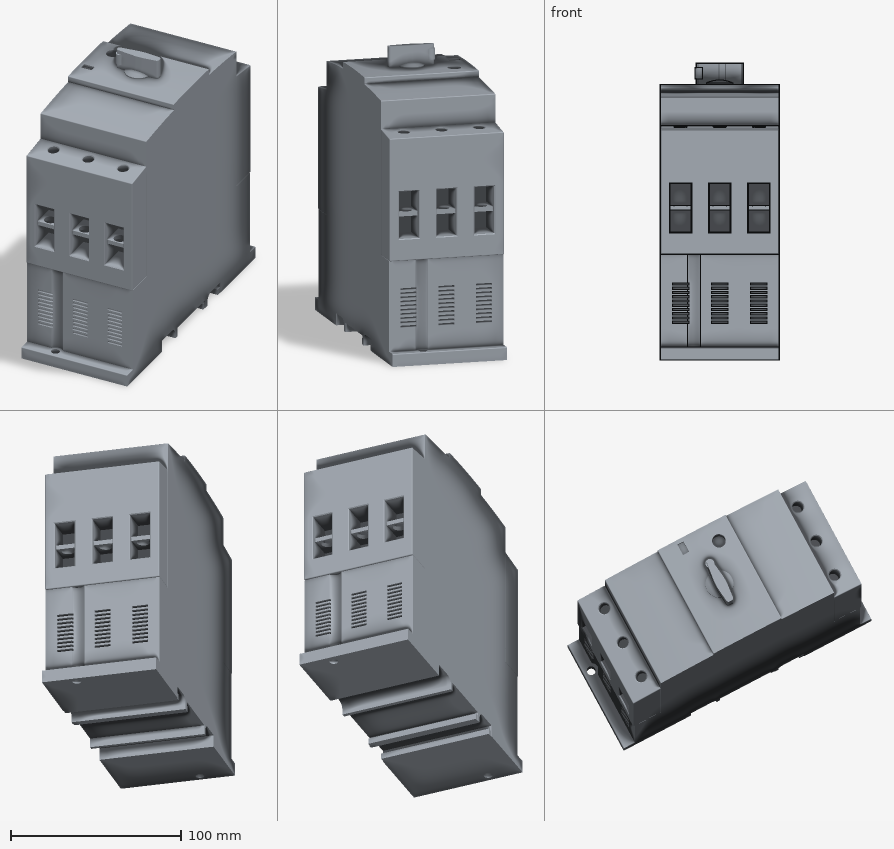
import cadquery as cq
import math

width = 70.0
depth = 165.0
height = 174.5
half_width = width / 2

edge_round = 0.5
mouth_chamfer = 0.5

base_height = 7.7
body_half_depth = 75.0

housing_half_depth = 57.8
block_half_depth = 76.1
block_bottom = 62.1
block_top_inner = 138.0
block_top_outer = 135.8
block_slope = math.atan2(block_top_inner - block_top_outer, block_half_depth - housing_half_depth)
pole_pitch = 23.0
pole_places = [-pole_pitch, 0, pole_pitch]

crown_radius = 523.7
housing_crown = 158.2
cap_half_depth = 22.7
cap_neck_half_depth = 22.2
cap_root = 156.4
cap_lip = 158.5
cap_crown = 162.2

screw_radius = 3.3
screw_place = 64.5
screw_depth = 10.5

window_width = 12.2
window_bottom = 75.2
window_top = 103.7
window_depth = 17.5
plate_bottom = 88.2
plate_top = 90.8
plate_setback = 3.1
plate_hole_radius = 3.8
plate_hole_place = 68.3

vent_width = 9.8
vent_height = 1.31
vent_count = 10
vent_lowest = 22.2
vent_highest = 44.7
vent_pitch = (vent_highest - vent_lowest) / (vent_count - 1)
vent_depth = 3.5

fixing_x = 15.0
fixing_y = 77.5
fixing_radius = 2.6
groove_radius = 4.5

rail_half_depth = 37.7
rail_height = 7.3
leg_outer = 20.6
leg_inner = 18.2
leg_round = 4.4
seat_height = 5.5
tab_height = 3.7
tab_inset = 0.3
seat_tab_depth = 2.3
rail_tab_depth = 3.1

button_x = -23.0
button_y = 11.9
button_radius = 4.0
button_depth = 7.0
label_x = -29.0
label_y = -8.7
label_size = (7.0, 4.0)
label_depth = 1.7

knob_root = 160.6
dome_radius = 8.2
dome_rim = 162.9
dome_top = 165.0
handle_half_length = 14.0
handle_half_width = 3.1
handle_tip_half_width = 2.1
handle_tail_half_width = 1.48
handle_flat_start = -0.3
handle_flat_end = 3.5
handle_tail_round = 1.2
handle_tip_round = 1.4
pointer_x = -12.0
pointer_radius = 2.6
pointer_bottom = 165.3
pointer_top = 172.0


def slab(half_depth, bottom, top):
    """Full-width block centred on X and Y between two heights."""
    return cq.Workplane("XY").box(width, 2 * half_depth, top - bottom).translate((0, 0, (bottom + top) / 2))


def across_width(outline):
    """Extrude an outline drawn in Y and Z over the full width."""
    return outline.extrude(half_width, both=True)


def crown_drop(y):
    """Fall of the crowned surface at a distance y from the middle."""
    return crown_radius - math.sqrt(crown_radius**2 - y**2)


def make_housing():
    edge = housing_crown - crown_drop(housing_half_depth)
    outline = (
        cq.Workplane("YZ")
        .moveTo(-housing_half_depth, base_height)
        .lineTo(-housing_half_depth, edge)
        .threePointArc((0, housing_crown), (housing_half_depth, edge))
        .lineTo(housing_half_depth, base_height)
        .close()
    )
    return across_width(outline).faces("<Y or >Y").edges("|X and >Z").fillet(edge_round)


def make_cap():
    edge = cap_crown - crown_drop(cap_half_depth)
    outline = (
        cq.Workplane("YZ")
        .moveTo(-cap_neck_half_depth, cap_root)
        .lineTo(-cap_half_depth, cap_lip)
        .lineTo(-cap_half_depth, edge)
        .threePointArc((0, cap_crown), (cap_half_depth, edge))
        .lineTo(cap_half_depth, cap_lip)
        .lineTo(cap_neck_half_depth, cap_root)
        .close()
    )
    return across_width(outline).faces("<Y or >Y").edges("|X and >Z").fillet(edge_round)


def make_terminal_block():
    """Terminal block on the -Y end, rounded all round, with a top that falls outwards."""
    outline = (
        cq.Workplane("YZ")
        .moveTo(-housing_half_depth, block_bottom)
        .lineTo(-block_half_depth, block_bottom)
        .lineTo(-block_half_depth, block_top_outer)
        .lineTo(-housing_half_depth, block_top_inner)
        .close()
    )
    block = across_width(outline).faces("<X or >X or <Y or >Z").edges().fillet(edge_round)
    for x in pole_places:
        block = block.cut(make_screw_hole(x))
        block = block.cut(make_window(x))
    return block


def make_screw_hole(x):
    """Blind hole with a chamfered mouth, square to the sloping block top."""
    surface = block_top_inner - (screw_place - housing_half_depth) * math.tan(block_slope)
    inward = cq.Vector(0, math.sin(block_slope), -math.cos(block_slope))
    start = cq.Vector(x, -screw_place, surface)
    hole = cq.Solid.makeCylinder(screw_radius, screw_depth, start, inward)
    mouth = cq.Solid.makeCone(screw_radius + mouth_chamfer, screw_radius, mouth_chamfer, start, inward)
    return cq.Workplane(hole).union(cq.Workplane(mouth))


def make_window(x):
    """Window cutter with a chamfered mouth that leaves the drilled clamp plate standing."""
    middle = (window_bottom + window_top) / 2
    window_height = window_top - window_bottom
    face = cq.Workplane("XZ", origin=(x, -block_half_depth, middle))
    window = face.rect(window_width, window_height).extrude(-window_depth)
    mouth = (
        cq.Workplane(face.plane)
        .rect(window_width + 2 * mouth_chamfer, window_height + 2 * mouth_chamfer)
        .extrude(-mouth_chamfer, taper=45)
    )
    window = window.union(mouth)
    plate = cq.Workplane("XY").box(
        window_width, window_depth - plate_setback, plate_top - plate_bottom, centered=(True, False, False)
    )
    plate = plate.translate((x, -block_half_depth + plate_setback, plate_bottom))
    hole = (
        cq.Workplane("XY", origin=(x, -plate_hole_place, plate_bottom))
        .circle(plate_hole_radius)
        .extrude(plate_top - plate_bottom)
    )
    return window.cut(plate.cut(hole))


def make_vents():
    """Three columns of vent slots in the -Y wall of the lower body."""
    points = []
    for x in pole_places:
        for row in range(vent_count):
            points.append((x, vent_lowest + row * vent_pitch))
    wall = cq.Workplane("XZ", origin=(0, -body_half_depth, 0))
    return wall.pushPoints(points).rect(vent_width, vent_height).extrude(vent_depth, both=True)


def make_fixing():
    """Fixing hole and relief groove at the -Y end."""
    place = (-fixing_x, -fixing_y)
    hole = cq.Workplane("XY").center(*place).circle(fixing_radius).extrude(base_height)
    groove = (
        cq.Workplane("XY", origin=(0, 0, base_height))
        .center(*place)
        .circle(groove_radius)
        .extrude(block_bottom - base_height)
    )
    return hole.union(groove)


def make_rail_seat():
    """Space under the base for the mounting rail, between and beside two legs."""
    middle = slab(leg_inner, 0, seat_height)
    channel = rail_half_depth - leg_outer
    side = cq.Workplane("XY").box(width, channel, rail_height, centered=(True, False, False))
    side = side.translate((0, leg_outer, 0)).edges("|X and <Y and >Z").fillet(leg_round)
    return middle.union(side).union(side.mirror("XZ"))


def make_rail_tabs():
    """Low tabs that stand in the rail seat on its +Y side."""
    length = width - 2 * tab_inset
    seat_tab = cq.Workplane("XY").box(length, seat_tab_depth, tab_height, centered=(True, False, False))
    rail_tab = cq.Workplane("XY").box(length, rail_tab_depth, tab_height, centered=(True, False, False))
    seat_tab = seat_tab.translate((0, leg_inner - seat_tab_depth, 0))
    rail_tab = rail_tab.translate((0, rail_half_depth - rail_tab_depth, 0))
    return seat_tab, rail_tab


def make_dome():
    """Round dome on a low rim that carries the handle."""
    rise = dome_top - dome_rim
    sphere_radius = (dome_radius**2 + rise**2) / (2 * rise)
    sphere = cq.Workplane("XY").sphere(sphere_radius).translate((0, 0, dome_top - sphere_radius))
    envelope = cq.Workplane("XY", origin=(0, 0, knob_root)).circle(dome_radius).extrude(height - knob_root)
    return sphere.intersect(envelope)


def make_handle():
    """Tapered grip with a round pointer at its -X end."""
    upper = [
        (handle_half_length, handle_tip_half_width),
        (handle_flat_end, handle_half_width),
        (handle_flat_start, handle_half_width),
        (-handle_half_length, handle_tail_half_width),
    ]
    lower = [(x, -y) for x, y in reversed(upper)]
    grip = (
        cq.Workplane("XY", origin=(0, 0, knob_root))
        .polyline(upper + lower)
        .close()
        .extrude(height - knob_root)
        .edges("|Z and <X")
        .fillet(handle_tail_round)
        .edges("|Z and >X")
        .fillet(handle_tip_round)
    )
    pointer = (
        cq.Workplane("XY", origin=(pointer_x, 0, pointer_bottom))
        .circle(pointer_radius)
        .extrude(pointer_top - pointer_bottom)
    )
    return grip.union(pointer)


def make_cap_recesses():
    """Round button recess and shallow label pocket in the cap."""
    button = cq.Workplane("XY", origin=(button_x, button_y, cap_crown - button_depth))
    label = cq.Workplane("XY", origin=(label_x, label_y, cap_crown - label_depth))
    pocket = label.rect(*label_size).extrude(label_depth)
    return button.circle(button_radius).extrude(button_depth).union(pocket)


def turned(shape):
    """The same shape turned half a turn, for the +Y end."""
    return shape.rotate((0, 0, 0), (0, 0, 1), 180)


result = slab(depth / 2, 0, base_height).faces(">Z").edges("|X").fillet(edge_round)
result = result.union(slab(body_half_depth, 0, block_bottom))
result = result.union(make_housing())
result = result.union(make_cap())

block = make_terminal_block()
end_cuts = make_vents().union(make_fixing())
for end_block, end_cut in [(block, end_cuts), (turned(block), turned(end_cuts))]:
    result = result.cut(end_cut)
    result = result.union(end_block)

result = result.cut(make_rail_seat())
for tab in make_rail_tabs():
    result = result.union(tab)
result = result.cut(make_cap_recesses())
result = result.union(make_dome())
result = result.union(make_handle())